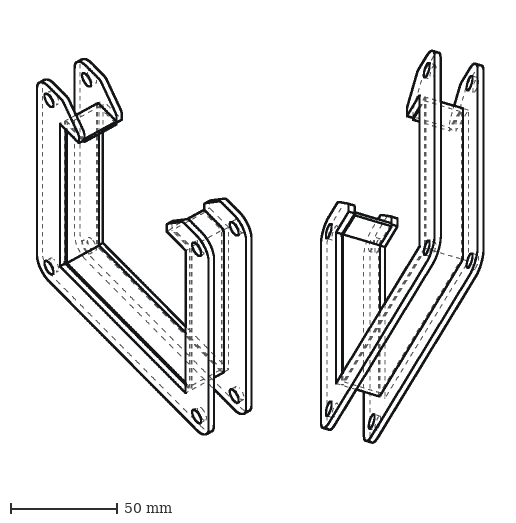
import cadquery as cq
import math

frame_size = 136.5
overall_depth = 25.1
half_size = frame_size / 2

plate_thickness = 3.1
plate_band_width = 18.3
corner_radius = 9.5
hole_diameter = 7.1
hole_inset = corner_radius
lip_end_inset = 33.5
bevel_start_inset = 20.5
bevel_radius = 3.7

strip_outer_inset = 17.5
strip_thickness = 2.0
strip_bend_radius = 2.7
strip_width = overall_depth - 2 * plate_thickness

lip_end_x = half_size - lip_end_inset


def c_outline(outer, inner):
    """C-shaped outline in XZ whose two arms end at the lip ends."""
    return [
        (-lip_end_x, outer),
        (-outer, outer),
        (-outer, -outer),
        (outer, -outer),
        (outer, outer),
        (lip_end_x, outer),
        (lip_end_x, inner),
        (inner, inner),
        (inner, -inner),
        (-inner, -inner),
        (-inner, inner),
        (-lip_end_x, inner),
    ]


def extrude_along_y(outline, front_y, depth):
    """Extrude an XZ outline from front_y toward +Y."""
    plane = cq.Workplane("XZ", origin=(0, front_y, 0))
    return plane.polyline(outline).close().extrude(-depth)


def edges_at(body, points):
    """Select the Y-parallel edges that pass through the given XZ points."""
    tolerance = 0.01

    def matches(edge):
        center = edge.Center()
        return any(math.hypot(center.x - x, center.z - z) < tolerance for x, z in points)

    chosen = [edge for edge in body.edges("|Y").vals() if matches(edge)]
    return body.newObject(chosen)


def square_corners(distance):
    return [(x, z) for x in (-distance, distance) for z in (-distance, distance)]


def make_plate(front_y):
    bevel_x = half_size - bevel_start_inset
    bevel_drop = lip_end_inset - bevel_start_inset
    bevel_z = half_size - bevel_drop

    outline = c_outline(half_size, half_size - plate_band_width)
    left_lip, right_lip = (-lip_end_x, half_size), (lip_end_x, half_size)
    bevels = {
        left_lip: [(-lip_end_x, bevel_z), (-bevel_x, half_size)],
        right_lip: [(bevel_x, half_size), (lip_end_x, bevel_z)],
    }
    outline = [new for point in outline for new in bevels.get(point, [point])]

    plate = extrude_along_y(outline, front_y, plate_thickness)
    plate = edges_at(plate, square_corners(half_size)).fillet(corner_radius)
    plate = edges_at(plate, bevels[left_lip] + bevels[right_lip]).fillet(bevel_radius)

    hole_plane = cq.Workplane("XZ", origin=(0, front_y, 0))
    holes = (
        hole_plane.pushPoints(square_corners(half_size - hole_inset))
        .circle(hole_diameter / 2)
        .extrude(-plate_thickness)
    )
    return plate.cut(holes)


def make_strip():
    outer = half_size - strip_outer_inset
    outline = c_outline(outer, outer - strip_thickness)
    strip = extrude_along_y(outline, -strip_width / 2, strip_width)
    return edges_at(strip, square_corners(outer)).fillet(strip_bend_radius)


plates = [make_plate(front_y) for front_y in (-overall_depth / 2, strip_width / 2)]
strip = make_strip()

result = cq.Compound.makeCompound([strip.val(), *[plate.val() for plate in plates]])